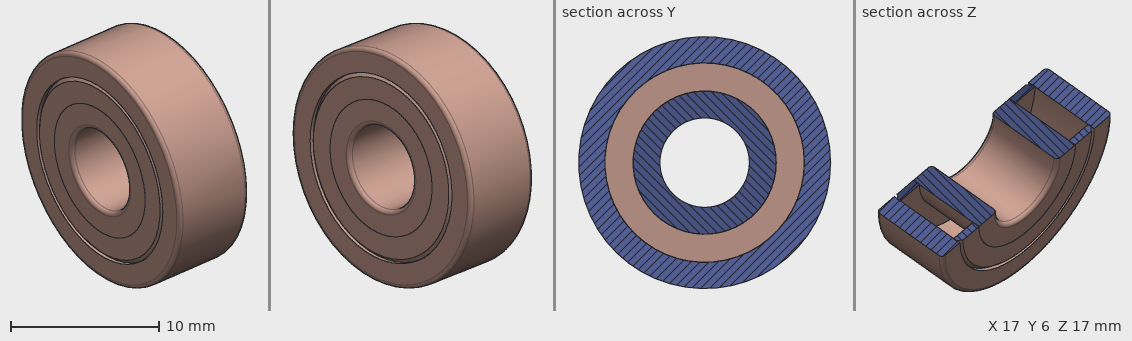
import cadquery as cq


outer_diameter = 17.0
bore_diameter = 6.0
width = 6.0
edge_radius = 0.3

shield_inner_radius = 4.83
shield_outer_radius = 6.71
shield_bevel = 0.29
shield_thickness = 2 * shield_bevel


def flat_ring(inner_radius, outer_radius, length):
    """Plain ring about the Y axis, centred on the origin."""
    profile = cq.Workplane("XZ", origin=(0, length / 2, 0)).circle(outer_radius).circle(inner_radius)
    return profile.extrude(length)


def make_outer_ring():
    """Outer ring with a rounded rim at each end face."""
    ring = flat_ring(shield_outer_radius, outer_diameter / 2, width)
    rim_edges = cq.selectors.RadiusNthSelector(-1)
    return ring.edges("%CIRCLE").edges(rim_edges).fillet(edge_radius)


def make_inner_ring():
    """Inner ring with rounded bore edges."""
    ring = flat_ring(bore_diameter / 2, shield_inner_radius, width)
    bore_edges = cq.selectors.RadiusNthSelector(0)
    return ring.edges("%CIRCLE").edges(bore_edges).fillet(edge_radius)


def make_shield(side):
    """Shield flush with one end face; side is -1 for the -Y end and +1 for the +Y end."""
    shield = flat_ring(shield_inner_radius, shield_outer_radius, shield_thickness)
    outward_face = ">Y" if side > 0 else "<Y"
    outer_edge = cq.selectors.RadiusNthSelector(-1)
    shield = shield.faces(outward_face).edges(outer_edge).chamfer(shield_bevel)
    return shield.translate((0, side * (width - shield_thickness) / 2, 0))


outer_ring = make_outer_ring()
inner_ring = make_inner_ring()
shields = [make_shield(side) for side in (-1, 1)]

result = cq.Compound.makeCompound(
    [outer_ring.val(), inner_ring.val(), *[shield.val() for shield in shields]]
)